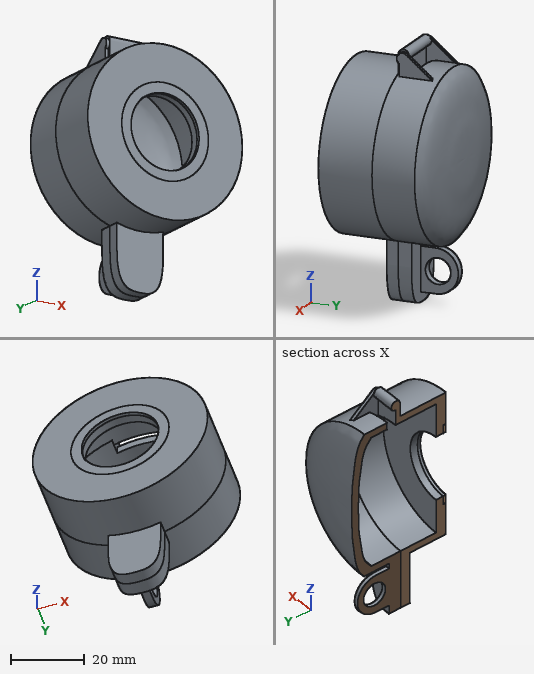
import cadquery as cq
import math


outer_radius = 25.0
cavity_radius = 22.5
split_y = 15.95
dome_base_y = 28.6
dome_apex_y = 33.0
dome_shoulder_radius = 22.05
dome_shoulder_y = 30.6
dome_mid_radius = 13.2
dome_mid_y = 32.35
shell_wall = outer_radius - cavity_radius
front_wall = 3.5

ring_outer_radius = 28.0 / 2
ring_bore_radius = 22.0 / 2
ring_depth = 1.0

tab_half_width = 7.5
tab_bottom_z = -42.55
tab_curve_z = -30.9
tab_side_pull = 0.95
tab_tip_pull = 0.55
case_tab_front_y = 12.5
cap_tab_back_y = 19.9

loop_center_y = 24.5
loop_center_z = -33.1
loop_radius = 6.55
loop_hole_y = 25.0
loop_hole_radius = 7.5 / 2
loop_thickness = 2.5

leaf_half_width = tab_half_width
leaf_radius = 1.6
leaf_top_z = 73.5 + tab_bottom_z
leaf_center_y = split_y + leaf_radius
leaf_center_z = leaf_top_z - leaf_radius
slot_back_y = 20.6

lug_outer_x = 8.6
lug_thickness = lug_outer_x - leaf_half_width
lug_radius = 1.8
lug_center_y = split_y + lug_radius
lug_center_z = 28.5
lug_front_y = split_y + 0.7
lug_tail_y = 26.6
lug_tail_z = math.sqrt(outer_radius**2 - lug_outer_x**2)


def disc(radius, start_y, end_y):
    """Solid cylinder on the case axis."""
    return cq.Workplane("XZ", origin=(0, start_y, 0)).circle(radius).extrude(start_y - end_y)


def box(x_range, y_range, z_range):
    """Box given by its limits along each axis."""
    sizes = [high - low for low, high in (x_range, y_range, z_range)]
    corner = (x_range[0], y_range[0], z_range[0])
    return cq.Workplane("XY").box(*sizes, centered=False).translate(corner)


def side_plane(x):
    """Plane at X = x, whose local axes are Y and Z."""
    return cq.Workplane("YZ", origin=(x, 0, 0))


def domed_disc(radius, start_y, inset):
    """Disc with a domed back, the dome moved forward by the inset."""
    scale = radius / outer_radius
    shoulder = (dome_shoulder_radius * scale, dome_shoulder_y - inset)
    middle = (dome_mid_radius * scale, dome_mid_y - inset)
    apex = (0, dome_apex_y - inset)
    return (
        cq.Workplane("XY")
        .moveTo(0, start_y)
        .lineTo(radius, start_y)
        .lineTo(radius, dome_base_y - inset)
        .spline([shoulder, middle, apex], tangents=[(-1, 1), (-1, 0)], includeCurrent=True)
        .close()
        .revolve(360, (0, 0), (0, 1))
    )


def tab(front_y, back_y):
    """Rounded tongue hanging below the case, starting inside its wall."""
    height = tab_curve_z - tab_bottom_z
    side_z = tab_curve_z - tab_side_pull * height
    tip_x = tab_tip_pull * tab_half_width
    tongue = (
        cq.Workplane("XZ", origin=(0, front_y, 0))
        .moveTo(-tab_half_width, 0)
        .lineTo(-tab_half_width, tab_curve_z)
        .bezier([(-tab_half_width, tab_curve_z), (-tab_half_width, side_z),
                 (-tip_x, tab_bottom_z), (0, tab_bottom_z)])
        .bezier([(0, tab_bottom_z), (tip_x, tab_bottom_z),
                 (tab_half_width, side_z), (tab_half_width, tab_curve_z)])
        .lineTo(tab_half_width, 0)
        .close()
        .extrude(front_y - back_y)
    )
    return tongue.cut(disc(cavity_radius, front_y, back_y))


def hinge_leaf():
    """Plate on the rear rim of the case, with a round bar along its top that overhangs the back."""
    plate = box((-leaf_half_width, leaf_half_width), (split_y, leaf_center_y), (0, leaf_center_z))
    bar = (
        side_plane(-leaf_half_width)
        .center(leaf_center_y, leaf_center_z)
        .circle(leaf_radius)
        .extrude(2 * leaf_half_width)
    )
    return plate.union(bar).cut(disc(cavity_radius, split_y, slot_back_y))


def hinge_lug(start_x):
    """Triangular cheek with a round nose, whose back slope is tangent to the nose."""
    run = lug_tail_y - lug_center_y
    rise = lug_tail_z - lug_center_z
    tangent_angle = math.atan2(rise, run) + math.acos(lug_radius / math.hypot(run, rise))
    tangent_y = lug_center_y + lug_radius * math.cos(tangent_angle)
    tangent_z = lug_center_z + lug_radius * math.sin(tangent_angle)
    cheek = (
        side_plane(start_x)
        .polyline([(lug_front_y, 0), (lug_front_y, lug_center_z), (lug_center_y, lug_center_z),
                   (tangent_y, tangent_z), (lug_tail_y, lug_tail_z), (lug_tail_y, 0)])
        .close()
        .extrude(lug_thickness)
    )
    nose = side_plane(start_x).center(lug_center_y, lug_center_z).circle(lug_radius).extrude(lug_thickness)
    return cheek.union(nose).cut(disc(cavity_radius, split_y, lug_tail_y))


def strap_loop():
    """Round-ended eye behind the cap tab."""
    start = side_plane(-loop_thickness / 2)
    eye = start.center(loop_center_y, loop_center_z).circle(loop_radius).extrude(loop_thickness)
    root = box(
        (-loop_thickness / 2, loop_thickness / 2),
        (cap_tab_back_y, loop_center_y),
        (loop_center_z - loop_radius, loop_center_z + loop_radius),
    )
    in_front = box((-loop_radius, loop_radius), (split_y, cap_tab_back_y), (tab_bottom_z, 0))
    hole = start.center(loop_hole_y, loop_center_z).circle(loop_hole_radius).extrude(loop_thickness)
    return eye.cut(in_front).union(root).cut(hole)


def make_ring():
    return disc(ring_outer_radius, 0, ring_depth).cut(disc(ring_bore_radius, 0, ring_depth))


def make_case():
    shell = disc(outer_radius, 0, split_y).cut(disc(cavity_radius, front_wall, split_y))
    shell = shell.cut(disc(ring_outer_radius, 0, ring_depth))
    shell = shell.cut(disc(ring_bore_radius, 0, front_wall))
    return shell.union(tab(case_tab_front_y, split_y)).union(hinge_leaf())


def make_cap():
    cap = domed_disc(outer_radius, split_y, 0).cut(domed_disc(cavity_radius, split_y, shell_wall))
    cap = cap.cut(box((-leaf_half_width, leaf_half_width), (split_y, slot_back_y), (0, outer_radius)))
    for start_x in (-lug_outer_x, leaf_half_width):
        cap = cap.union(hinge_lug(start_x))
    return cap.union(tab(split_y, cap_tab_back_y)).union(strap_loop())


ring = make_ring()
case = make_case()
cap = make_cap()
result = cq.Compound.makeCompound([ring.val(), case.val(), cap.val()])